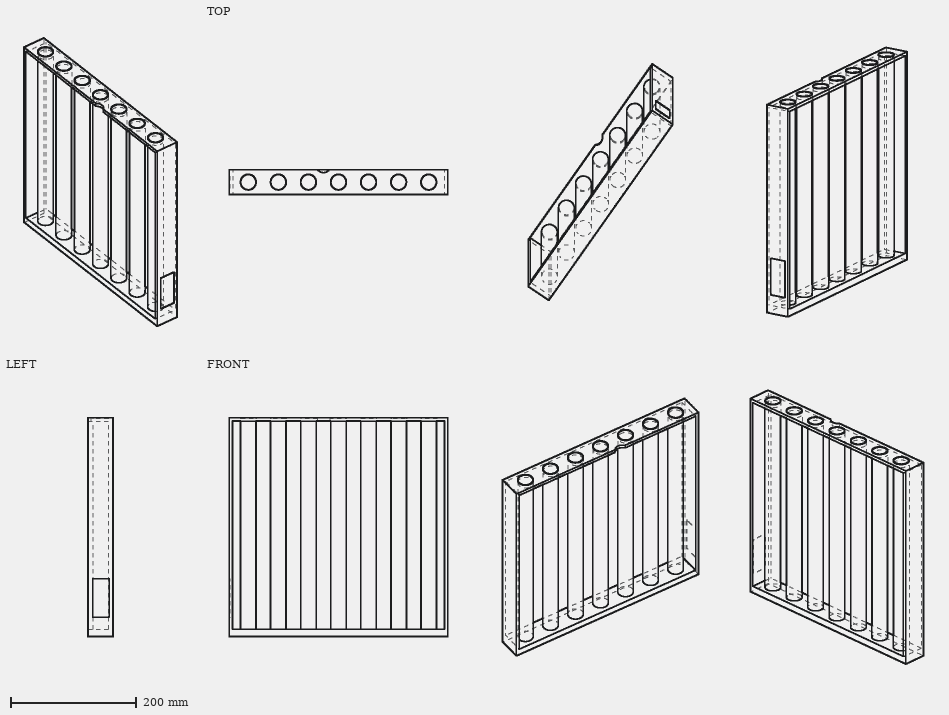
import cadquery as cq

WIDTH = 349.0
DEPTH = 40.0
HEIGHT = 349.3

TOP_THICKNESS = 5.5
SIDE_THICKNESS = 5.5
BOTTOM_THICKNESS = 12.0

TUBE_COUNT = 7
TUBE_ROW_SPAN = 287.8
TUBE_PITCH = TUBE_ROW_SPAN / (TUBE_COUNT - 1)
TUBE_DIAMETER = 25.0

RING_INNER_DIAMETER = 24.0
RING_DEPTH = 0.7

NOTCH_DIAMETER = 24.0
NOTCH_DEPTH = 5.0
NOTCH_X = -TUBE_PITCH / 2

POCKET_WIDTH = 27.0
POCKET_HEIGHT = 61.5
POCKET_DEPTH = 0.7
POCKET_CORNER_RADIUS = 1.5
POCKET_FRONT_MARGIN = 6.0
POCKET_BOTTOM = 31.0


def make_frame():
    """Rectangular frame, open from front to back."""
    opening_width = WIDTH - 2 * SIDE_THICKNESS
    opening_height = HEIGHT - TOP_THICKNESS - BOTTOM_THICKNESS
    outside = cq.Workplane("XY").box(WIDTH, DEPTH, HEIGHT, centered=(True, True, False))
    opening = (
        cq.Workplane("XY", origin=(0, 0, BOTTOM_THICKNESS))
        .box(opening_width, DEPTH, opening_height, centered=(True, True, False))
    )
    return outside.cut(opening)


def tube_positions(z):
    """Workplane at height z with one point on each tube axis."""
    return cq.Workplane("XY", origin=(0, 0, z)).rarray(TUBE_PITCH, 3.5, TUBE_COUNT, 1)


def make_tubes():
    """Tubes set into the bottom and reaching the top face."""
    return tube_positions(0).circle(TUBE_DIAMETER / 2).extrude(HEIGHT)


def make_ring_grooves():
    return (
        tube_positions(HEIGHT)
        .circle(TUBE_DIAMETER / 2)
        .circle(RING_INNER_DIAMETER / 2)
        .extrude(-RING_DEPTH)
    )


def make_notch():
    """Cylinder that bites into the back edge through the top only."""
    notch_y = DEPTH / 2 - NOTCH_DEPTH + NOTCH_DIAMETER / 2
    return (
        cq.Workplane("XY", origin=(NOTCH_X, notch_y, HEIGHT))
        .circle(NOTCH_DIAMETER / 2)
        .extrude(-TOP_THICKNESS)
    )


def make_pocket():
    pocket_y = -DEPTH / 2 + POCKET_FRONT_MARGIN + POCKET_WIDTH / 2
    pocket_z = POCKET_BOTTOM + POCKET_HEIGHT / 2
    return (
        cq.Workplane("YZ", origin=(-WIDTH / 2, pocket_y, pocket_z))
        .rect(POCKET_WIDTH, POCKET_HEIGHT)
        .extrude(POCKET_DEPTH)
        .edges("|X")
        .fillet(POCKET_CORNER_RADIUS)
    )


result = (
    make_frame()
    .union(make_tubes())
    .cut(make_ring_grooves())
    .cut(make_notch())
    .cut(make_pocket())
)